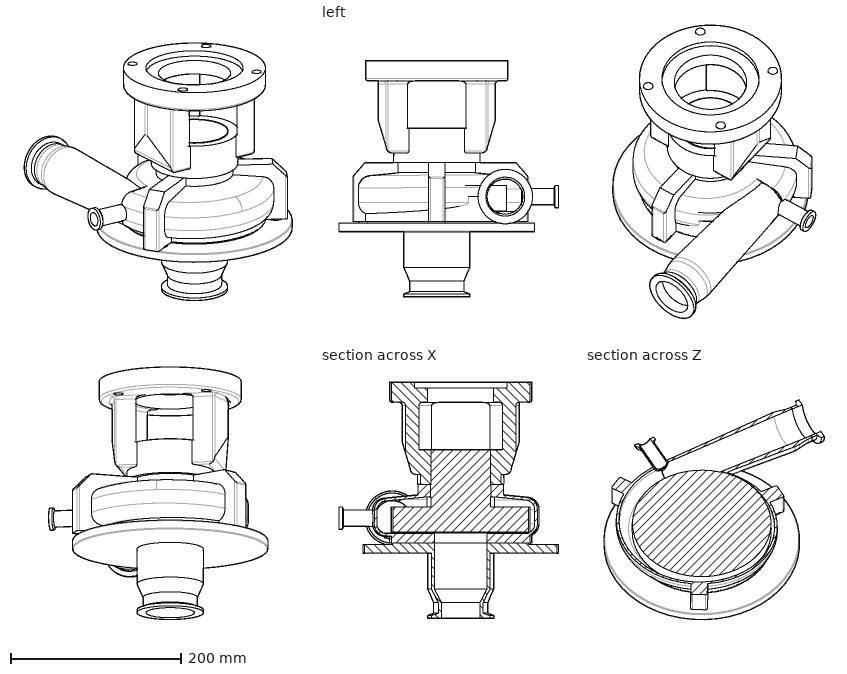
import cadquery as cq

wall = 3.7
spiral_shift = 5.8
big_spiral_radius = 98.0
small_spiral_radius = big_spiral_radius - 2 * spiral_shift
volute_floor = 9.5
volute_round = 14.5
roof_height = 59.0
roof_drop = 4.5
roof_rim_radius = 90.5
neck_radius = 45.5
casing_bottom = 1.5
casing_top = 70.8
skirt_radius = 83.5

rib_width = 19.8
rib_chamfer = 17.5
rib_round = 2.5
rib_reaches = {60: 109.2, 180: 105.2, 300: 119.3}
foot_radius = 9.5
foot_distance = 95.2

nozzle_height = 30.8
outlet_y = spiral_shift - small_spiral_radius
outlet_end_x = -190.0
outlet_joint_x = -176.5
outlet_step_start_x = -171.7
outlet_step_end_x = -158.5
outlet_bulge_x = -152.5
outlet_tube_radius = 26.5
outlet_step_radius = 29.0
outlet_bulge_radius = 29.5
outlet_throat_radius = 24.0
outlet_flange_radius = 32.0
outlet_flange_thickness = 4.3
ferrule_taper = 2.7

branch_radius = 9.8
branch_bore_radius = 8.0
branch_end_y = -143.0
branch_root_y = -100.5
branch_flange_radius = 13.0
branch_flange_thickness = 4.0
branch_taper = 1.5
branch_taper_width = 3.0

plate_radius = 115.0
plate_thickness = 10.7
plate_edge_round = 1.0
spigot_radius = 82.0
inlet_radius = 39.0
inlet_neck_radius = 32.0
inlet_cone_top = -52.5
inlet_cone_bottom = -68.5
inlet_bottom = -87.0
inlet_flange_thickness = 3.5
inlet_bore_radius = inlet_radius - wall
inlet_neck_bore_radius = inlet_neck_radius - wall

impeller_radius = 81.7
impeller_bottom = 14.0
impeller_top = 44.0
shaft_radius = 39.5
shaft_chamfer = 0.5

collar_radius = 51.0
collar_top = 111.3
flange_radius = 83.5
flange_bottom = 166.8
flange_top = 190.5
flange_edge_round = 2.7
recess_radius = 57.0
recess_depth = 6.7
flange_bore_radius = 42.5
bolt_offset = 52.5
bolt_hole_radius = 5.5
leg_half_width = 39.0
leg_inner_radius = 52.0
leg_side_y = 59.5
leg_ridge_y = 69.0
ridge_half_width = 2.7
leg_bottom = 82.0
leg_slope_top = 120.5
leg_edge_round = 2.5
leg_bottom_round = 6.7
leg_flange_blend = 3.7
blend_margin = 0.3


def cylinder(radius, bottom, top):
    return cq.Workplane("XY").workplane(offset=bottom).circle(radius).extrude(top - bottom)


def turned_about_z(points):
    """Solid of revolution from (radius, Z) points."""
    return cq.Workplane("XZ").polyline(points).close().revolve(360, (0, 0), (0, 1))


def turned_about_outlet(points):
    """Solid of revolution about the outlet axis from (X, radius) points."""
    profile = cq.Workplane("XY").polyline(points).close()
    return profile.revolve(360, (0, 0), (1, 0)).translate((0, outlet_y, nozzle_height))


def volute_shape(inset):
    """Spiral chamber with a conical roof, moved inwards by inset on every outer face."""
    big = big_spiral_radius - inset
    small = small_spiral_radius - inset
    floor = volute_floor + inset
    spiral = (
        cq.Workplane("XY").workplane(offset=floor)
        .moveTo(0, -spiral_shift - big)
        .threePointArc((big, -spiral_shift), (0, big - spiral_shift))
        .threePointArc((-small, spiral_shift), (0, spiral_shift - small))
        .close()
        .extrude(casing_top)
    )
    slope = roof_drop / (roof_rim_radius - neck_radius)
    apex = roof_height + slope * neck_radius - inset
    outer = 2 * big_spiral_radius
    roof = turned_about_z([(0, 0), (outer, 0), (outer, apex - slope * outer), (0, apex)])
    shape = spiral.intersect(roof)
    shape = shape.edges("%BSPLINE").fillet(volute_round - inset)
    return shape.faces("<Z").edges("%CIRCLE").fillet(volute_round - inset)


def rib(angle, reach):
    """Radial rib from the neck to the reach, with its foot."""
    body = (
        cq.Workplane("XZ")
        .moveTo(shaft_radius, casing_bottom)
        .lineTo(reach, casing_bottom)
        .lineTo(reach, casing_top - rib_chamfer)
        .lineTo(reach - rib_chamfer, casing_top)
        .lineTo(shaft_radius, casing_top)
        .close()
        .extrude(rib_width / 2, both=True)
    )
    body = body.faces(">X").edges("not <Z").fillet(rib_round)
    foot = cylinder(foot_radius, 0, casing_bottom).translate((foot_distance, 0, 0))
    return body.union(foot).rotate((0, 0, 0), (0, 0, 1), angle)


def outlet_outside():
    return turned_about_outlet([
        (outlet_joint_x, 0),
        (outlet_joint_x, outlet_tube_radius),
        (outlet_step_start_x, outlet_tube_radius),
        (outlet_step_end_x, outlet_step_radius),
        (outlet_bulge_x, outlet_bulge_radius),
        (0, outlet_throat_radius),
        (0, 0),
    ])


def outlet_passage():
    return turned_about_outlet([
        (outlet_end_x, 0),
        (outlet_end_x, outlet_tube_radius - wall),
        (outlet_bulge_x, outlet_tube_radius - wall),
        (0, outlet_throat_radius - wall),
        (0, 0),
    ])


def branch_cylinder(radius, start_y, end_y):
    plane = cq.Plane((0, start_y, nozzle_height), (1, 0, 0), (0, -1, 0))
    return cq.Workplane(plane).circle(radius).extrude(start_y - end_y)


def make_casing():
    outside = volute_shape(0)
    outside = outside.union(cylinder(neck_radius, casing_bottom, casing_top))
    outside = outside.union(cylinder(skirt_radius, casing_bottom, nozzle_height))
    outside = outside.union(outlet_outside())
    for angle, reach in rib_reaches.items():
        outside = outside.union(rib(angle, reach))
    chamber = volute_shape(wall)
    impeller_room = cylinder(impeller_radius, volute_floor + wall, impeller_top)
    casing = outside.cut(chamber).cut(impeller_room).cut(outlet_passage())
    casing = casing.cut(cylinder(shaft_radius, impeller_top, casing_top))
    casing = casing.cut(cylinder(inlet_bore_radius, casing_bottom, impeller_top))
    return casing.cut(branch_cylinder(branch_radius, branch_root_y + wall, branch_end_y))


def make_outlet_ferrule():
    flange_x = outlet_end_x + outlet_flange_thickness
    body = turned_about_outlet([
        (outlet_end_x, 0),
        (outlet_end_x, outlet_flange_radius),
        (flange_x, outlet_flange_radius),
        (flange_x + ferrule_taper, outlet_tube_radius),
        (outlet_joint_x, outlet_tube_radius),
        (outlet_joint_x, 0),
    ])
    return body.cut(outlet_passage())


def make_branch_nozzle():
    flange_y = branch_end_y + branch_flange_thickness
    body = branch_cylinder(branch_radius, branch_root_y, branch_end_y)
    flange = branch_cylinder(branch_flange_radius, flange_y + branch_taper, branch_end_y)
    flange = flange.faces(">Y").edges().chamfer(branch_taper, branch_taper_width)
    return body.union(flange).cut(branch_cylinder(branch_bore_radius, branch_root_y, branch_end_y))


def make_back_plate():
    plate = cylinder(plate_radius, -plate_thickness, 0).edges().fillet(plate_edge_round)
    spigot = cylinder(spigot_radius, -plate_thickness / 2, casing_bottom)
    flange_z = inlet_bottom + inlet_flange_thickness
    pipe = turned_about_z([
        (0, -plate_thickness / 2),
        (inlet_radius, -plate_thickness / 2),
        (inlet_radius, inlet_cone_top),
        (inlet_neck_radius, inlet_cone_bottom),
        (inlet_neck_radius, flange_z + ferrule_taper),
        (inlet_radius, flange_z),
        (inlet_radius, inlet_bottom),
        (0, inlet_bottom),
    ])
    bore = turned_about_z([
        (0, casing_bottom),
        (inlet_bore_radius, casing_bottom),
        (inlet_bore_radius, inlet_cone_top),
        (inlet_neck_bore_radius, inlet_cone_bottom),
        (inlet_neck_bore_radius, inlet_bottom),
        (0, inlet_bottom),
    ])
    return plate.union(spigot).union(pipe).cut(bore)


def make_rotor():
    shaft = cylinder(shaft_radius, impeller_bottom, collar_top).faces(">Z").edges().chamfer(shaft_chamfer)
    return cylinder(impeller_radius, impeller_bottom, impeller_top).union(shaft)


def leg():
    """Lantern leg on the -Y side, faceted to a central ridge and sloped at its foot."""
    height = flange_bottom - leg_bottom
    plan = [
        (-leg_half_width, 0),
        (-leg_half_width, -leg_side_y),
        (-ridge_half_width, -leg_ridge_y),
        (ridge_half_width, -leg_ridge_y),
        (leg_half_width, -leg_side_y),
        (leg_half_width, 0),
    ]
    body = cq.Workplane("XY").workplane(offset=leg_bottom).polyline(plan).close().extrude(height)
    body = body.faces("<X or >X").edges("|Z and <Y").fillet(leg_edge_round)
    side = (
        cq.Workplane("YZ")
        .moveTo(0, leg_bottom)
        .lineTo(leg_bottom_round - leg_side_y, leg_bottom)
        .tangentArcPoint((-leg_side_y, leg_bottom + leg_bottom_round), relative=False)
        .lineTo(-leg_ridge_y, leg_slope_top)
        .lineTo(-leg_ridge_y, flange_bottom)
        .lineTo(0, flange_bottom)
        .close()
        .extrude(leg_half_width, both=True)
    )
    front = (
        cq.Workplane("XY")
        .box(2 * leg_half_width, leg_ridge_y, height, centered=(True, False, False))
        .edges("|Y and <Z").fillet(leg_edge_round)
        .translate((0, -leg_ridge_y, leg_bottom))
    )
    body = body.intersect(side).intersect(front)
    body = body.cut(cylinder(leg_inner_radius, collar_top, flange_bottom))
    return body.cut(cylinder(shaft_radius, leg_bottom, collar_top))


def make_lantern():
    flange = cylinder(flange_radius, flange_bottom, flange_top).faces("<Z").edges().fillet(flange_edge_round)
    front_leg = leg()
    lantern = flange.union(front_leg).union(front_leg.mirror("XZ"))
    blend_band = cq.selectors.BoxSelector(
        (-leg_inner_radius, -flange_bottom, flange_bottom - blend_margin),
        (leg_inner_radius, -blend_margin, flange_bottom + blend_margin),
    ) + cq.selectors.BoxSelector(
        (-leg_inner_radius, blend_margin, flange_bottom - blend_margin),
        (leg_inner_radius, leg_ridge_y, flange_bottom + blend_margin),
    )
    lantern = lantern.edges(blend_band).fillet(leg_flange_blend)
    lantern = lantern.union(cylinder(collar_radius, casing_top, collar_top))
    lantern = lantern.cut(cylinder(shaft_radius, casing_top, collar_top))
    lantern = lantern.cut(cylinder(flange_bore_radius, flange_bottom, flange_top))
    lantern = lantern.cut(cylinder(recess_radius, flange_top - recess_depth, flange_top))
    bolt_holes = (
        cq.Workplane("XY").workplane(offset=flange_bottom)
        .rect(2 * bolt_offset, 2 * bolt_offset, forConstruction=True).vertices()
        .circle(bolt_hole_radius).extrude(flange_top - flange_bottom)
    )
    return lantern.cut(bolt_holes)


casing = make_casing()
outlet_ferrule = make_outlet_ferrule()
branch_nozzle = make_branch_nozzle()
back_plate = make_back_plate()
rotor = make_rotor()
lantern = make_lantern()

result = cq.Compound.makeCompound([
    casing.val(),
    outlet_ferrule.val(),
    branch_nozzle.val(),
    back_plate.val(),
    rotor.val(),
    lantern.val(),
])